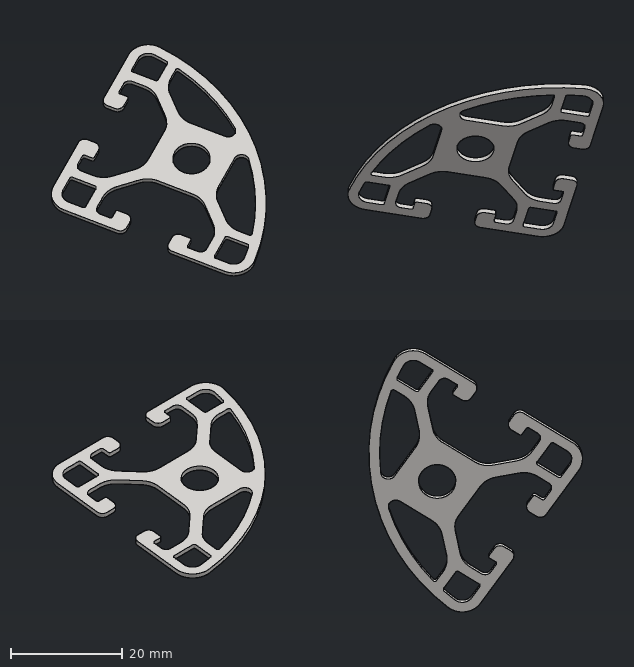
import cadquery as cq
import math

size = 39.75
thickness = 1.0
corner_radius = 3.98
arc_radius = corner_radius + math.hypot(size - corner_radius, corner_radius)

wall = 1.95
inner_arc_radius = arc_radius - wall
center = 19.95
core_half = 7.0
bore_diameter = 6.68
rib_offset = 1.75

opening_half = 4.15
ledge_half = 7.47
slot_half = 10.85
lip_height = 4.0

bend_radius = 4.37
slot_corner_radius = 1.2
lip_radius = 1.27
window_end_radius = 1.35
small_radius = 0.35
cell_corner_radius = corner_radius - wall

core_low = center - core_half
core_high = center + core_half
slot_low = center - slot_half
slot_high = center + slot_half
cell_right = slot_low - wall


def prism(points):
    return cq.Workplane("XY").polyline(points).close().extrude(thickness)


def disk(radius):
    return cq.Workplane("XY").circle(radius).extrude(thickness)


def round_corners(body, corners, radius):
    """Fillet the upright edge at each (x, y) corner."""
    for x, y in corners:
        edge = cq.selectors.NearestToPointSelector((x, y, thickness / 2))
        body = body.edges("|Z").edges(edge).fillet(radius)
    return body


def mirrored(body):
    """Reflect a body about the diagonal plane x = y."""
    return body.mirror("XZ").rotate((0, 0, 0), (0, 0, 1), 90)


def on_arc(radius, offset):
    """Distance along one axis to the arc, at an offset along the other axis."""
    return math.sqrt(radius**2 - offset**2)


def make_plate():
    square = cq.Workplane("XY").rect(arc_radius, arc_radius, centered=False).extrude(thickness)
    plate = square.intersect(disk(arc_radius))
    corners = [(0, 0), (arc_radius, 0), (0, arc_radius)]
    return round_corners(plate, corners, corner_radius)


def make_slot():
    """T-slot opening through the lower side."""
    shoulder_half = core_half - rib_offset
    shoulder_height = slot_low - rib_offset
    half = [
        (opening_half, 0),
        (opening_half, lip_height),
        (ledge_half, lip_height),
        (ledge_half, wall),
        (slot_half, wall),
        (slot_half, shoulder_height),
        (shoulder_half, core_low),
    ]
    left = [(center - x, y) for x, y in half]
    right = [(center + x, y) for x, y in half]
    slot = prism(left + right[::-1])
    for side in (left, right):
        slot = round_corners(slot, side[1:2], lip_radius)
        slot = round_corners(slot, side[2:4], small_radius)
        slot = round_corners(slot, side[4:5], slot_corner_radius)
        slot = round_corners(slot, side[5:7], bend_radius)
    return slot


def make_window():
    """Opening between the upper diagonal rib, the core and the arc wall."""
    diagonal_sum = 2 * center + rib_offset
    bends = [(slot_low, diagonal_sum - slot_low), (diagonal_sum - core_high, core_high)]
    outer = [(size, core_high), (size, size), (slot_low, size)]
    window = prism(bends + outer).intersect(disk(inner_arc_radius))
    window = round_corners(window, bends, bend_radius)
    window = round_corners(window, [(on_arc(inner_arc_radius, core_high), core_high)], window_end_radius)
    return round_corners(window, [(slot_low, on_arc(inner_arc_radius, slot_low))], small_radius)


def make_corner_cell():
    """Hollow in the square corner of the plate."""
    low = wall
    high = cell_right
    cell = prism([(low, low), (high, low), (high, high), (low, high)])
    cell = round_corners(cell, [(low, low)], cell_corner_radius)
    return round_corners(cell, [(high, low), (high, high), (low, high)], small_radius)


def make_tip_cell():
    """Hollow in the upper tip, bounded above by the arc wall."""
    left = wall
    right = cell_right
    bottom = slot_high + wall
    cell = prism([(left, bottom), (right, bottom), (right, size), (left, size)])
    cell = cell.intersect(disk(inner_arc_radius))
    cell = round_corners(cell, [(left, on_arc(inner_arc_radius, left))], cell_corner_radius)
    corners = [(left, bottom), (right, bottom), (right, on_arc(inner_arc_radius, right))]
    return round_corners(cell, corners, small_radius)


def make_bore():
    return disk(bore_diameter / 2).translate((center, center, 0))


result = make_plate()
for opening in (make_slot(), make_window(), make_tip_cell()):
    result = result.cut(opening).cut(mirrored(opening))
result = result.cut(make_corner_cell()).cut(make_bore())

for mouth in (center - opening_half, center + opening_half):
    result = round_corners(result, [(mouth, 0), (0, mouth)], lip_radius)